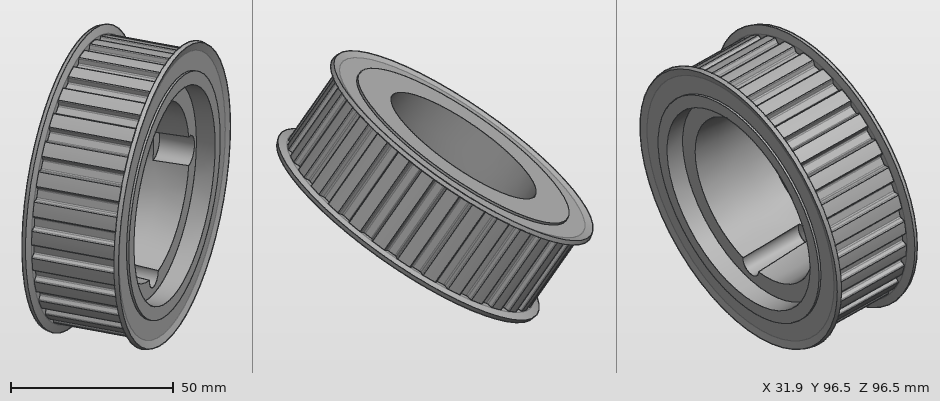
import cadquery as cq
import math


total_width = 31.85
flange_diameter = 96.5

tooth_count = 30
tip_radius = 45.2
groove_depth = 1.9
groove_floor_width = 3.1
groove_flank_angle = 20.0
groove_floor_fillet = 0.5
groove_tip_fillet = 0.5
first_groove_angle = 3.0

flange_thickness = 1.4
flange_dish_angle = 17.0
flange_seat_radius = 39.0
flange_recess = 0.8

bore_small_radius = 26.8
bore_large_radius = 28.6
taper_length = 25.7
counterbore_radius = 34.65

seat_groove_radius = 5.0
seat_groove_center_radius = 28.0
seat_groove_start = -1.7
thread_groove_radius = 3.8
thread_groove_center_radius = 28.4
thread_groove_offset = -1.6
thread_groove_start = -12.3
drill_point_angle = 118.0

tooth_half_width = total_width / 2 - flange_recess - flange_thickness
hub_half_width = total_width / 2
taper_end = -hub_half_width + taper_length


def revolve_about_x(points):
    """Solid of revolution from (x, radius) points."""
    return cq.Workplane("XY").polyline(points).close().revolve(360, (0, 0, 0), (1, 0, 0))


def make_tooth_groove_cutter():
    """Trapezoidal tooth gap at +Z, with rounded floor corners and rounded tooth-tip corners."""
    flank = math.radians(groove_flank_angle)
    half_floor = groove_floor_width / 2
    floor_height = tip_radius - groove_depth

    half_tip = half_floor + groove_depth * math.tan(flank)
    tip_height = math.sqrt(tip_radius**2 - half_tip**2)
    corner_y = half_floor + (tip_height - floor_height) * math.tan(flank)

    turn = math.pi / 2 - flank
    setback = groove_tip_fillet * math.tan(turn / 2)
    flank_y = corner_y - setback * math.sin(flank)
    flank_z = tip_height - setback * math.cos(flank)
    mouth_y = corner_y + setback
    arc_y = mouth_y - groove_tip_fillet * math.sin(turn / 2)
    arc_z = tip_height - groove_tip_fillet * (1 - math.cos(turn / 2))

    top = tip_radius + groove_depth
    cutter = (
        cq.Workplane("YZ", origin=(-tooth_half_width, 0, 0))
        .moveTo(-half_floor, floor_height)
        .lineTo(half_floor, floor_height)
        .lineTo(flank_y, flank_z)
        .threePointArc((arc_y, arc_z), (mouth_y, tip_height))
        .lineTo(mouth_y, top)
        .lineTo(-mouth_y, top)
        .lineTo(-mouth_y, tip_height)
        .threePointArc((-arc_y, arc_z), (-flank_y, flank_z))
        .close()
        .extrude(2 * tooth_half_width)
    )
    return cutter.faces("<Z").edges("|X").fillet(groove_floor_fillet)


def make_seat_groove_cutter():
    """Flat-ended half hole at +Y for the head of a clamping screw."""
    return (
        cq.Workplane("YZ", origin=(seat_groove_start, 0, 0))
        .center(seat_groove_center_radius, 0)
        .circle(seat_groove_radius)
        .extrude(taper_end - seat_groove_start)
    )


def make_thread_groove_cutter():
    """Drilled half hole near -Z with a conical drill-point end."""
    point_length = thread_groove_radius / math.tan(math.radians(drill_point_angle / 2))
    drill = revolve_about_x([
        (thread_groove_start - point_length, 0),
        (thread_groove_start, thread_groove_radius),
        (taper_end, thread_groove_radius),
        (taper_end, 0),
    ])
    return drill.translate((0, thread_groove_offset, -thread_groove_center_radius))


def make_pulley():
    """Toothed hub with flange seats, a bore tapering up to the counterbore, and screw grooves."""
    body = revolve_about_x([
        (-hub_half_width, bore_small_radius),
        (taper_end, bore_large_radius),
        (taper_end, counterbore_radius),
        (hub_half_width, counterbore_radius),
        (hub_half_width, flange_seat_radius),
        (tooth_half_width, flange_seat_radius),
        (tooth_half_width, tip_radius),
        (-tooth_half_width, tip_radius),
        (-tooth_half_width, flange_seat_radius),
        (-hub_half_width, flange_seat_radius),
    ])
    cutter = make_tooth_groove_cutter()
    pitch_angle = 360 / tooth_count
    for i in range(tooth_count):
        angle = first_groove_angle + i * pitch_angle
        body = body.cut(cutter.rotate((0, 0, 0), (1, 0, 0), -angle))
    body = body.cut(make_seat_groove_cutter())
    return body.cut(make_thread_groove_cutter())


def make_flange(side):
    """Dished sheet flange on the side of the given sign of X, flaring outward to its rim."""
    angle = math.radians(flange_dish_angle)
    rim = flange_diameter / 2
    inner_x = tooth_half_width
    outer_x = inner_x + flange_thickness
    end_x = total_width / 2
    rim_inner_x = end_x - flange_thickness * math.cos(angle)
    rim_outer_radius = rim - flange_thickness * math.sin(angle)
    bend_inside = rim - (rim_inner_x - inner_x) / math.tan(angle)
    bend_outside = rim_outer_radius - (end_x - outer_x) / math.tan(angle)
    return revolve_about_x([
        (side * inner_x, flange_seat_radius),
        (side * inner_x, bend_inside),
        (side * rim_inner_x, rim),
        (side * end_x, rim_outer_radius),
        (side * outer_x, bend_outside),
        (side * outer_x, flange_seat_radius),
    ])


pulley = make_pulley()
flanges = [make_flange(side) for side in (-1, 1)]
result = cq.Compound.makeCompound([pulley.val(), *[flange.val() for flange in flanges]])